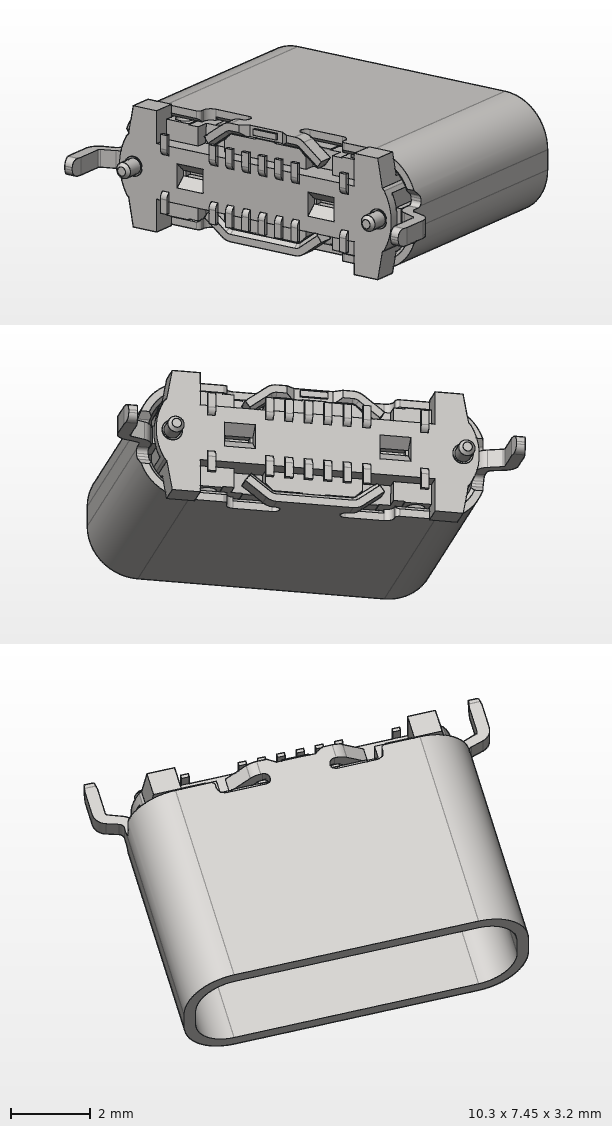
import cadquery as cq
import math


shell_width = 8.94
shell_height = 3.13
shell_corner = 1.30
wall = 0.30
shell_rear = 0.65
shell_mouth = 6.40
rear_chamfer = 0.10
cavity_half_width = shell_width / 2 - wall
cavity_half_height = shell_height / 2 - wall

strip_rear = 0.32
strip_front = 0.72
wing_bend_x = 1.13
wing_angle = math.radians(37)
wing_length = 0.83
bend_outer_radius = 0.45
bend_inner_radius = bend_outer_radius - wall
wing_root_x = 0.98

slot_outer_x = 2.16
slot_inner_x = 0.78
slot_front = 1.04
slot_end_radius = 0.155
slot_corner = 0.22
slot_flare = 0.10

notch_half_width = 0.72
notch_floor_half_width = 0.50
notch_depth = 0.15
lip_half_width = 0.35
lip_rear = 0.40
lip_thickness = 0.16
lip_below_top = 0.06

tail_width = 0.47
tail_outer_x = 5.15
tail_inner_x = tail_outer_x - 0.33
tail_end = -1.05
tail_tip_start = -0.74
tail_tip_inset = 0.05
tail_tip_radius = 0.20
tail_root = 0.95
tail_bend_inner_y = 0.30
tail_bend_outer_y = 0.45
tail_knee_inner_y = 0.05
tail_knee_outer_y = 0.23
tail_wide_bend = 0.38
tail_wall_bend = 0.15
tail_tight_bend = 0.06
arch_inner_x = 3.70
arch_outer_z = 0.70
arch_peak_outer_z = 0.50
arch_peak = 0.86
arch_corner = 0.13

housing_height = 3.20
ear_inner_x = 3.02
ear_top_x = 3.74
ear_shoulder_x = 3.88
ear_shoulder_z = 0.84
plate_half_width = 4.155
plate_arc_x = 3.94
plate_arc_z = 0.78
plate_thickness = 0.26
plug_half_width = 4.00
plug_half_height = 1.24
plug_front = 1.20
nub_rear = 0.43

web_half_height = 0.735
step_rear = 0.43
wing_recess_x = 2.05
wing_recess_floor = 0.735
wing_recess_rim = 0.79
middle_half_width = 1.25
middle_top_half_width = 1.05
middle_shoulder_z = 1.05

centre_pad_half_width = 0.30
front_pad_half_width = 1.75
side_pad_inner_x = 2.34
dimple_x = 2.68
dimple_y = 0.76
dimple_radius = 0.24

window_x = 2.00
window_width = 0.79
window_height = 0.64
window_taper_depth = 0.28
window_neck_height = 0.14
window_neck_width = 0.65
window_neck_depth = 0.20

peg_x = 3.74
peg_radius = 0.21
peg_length = 0.51
peg_tip_radius = 0.12
peg_tip_length = 0.09
peg_groove_radius = 0.26
peg_groove_depth = 0.03

contact_places = (-2.74, -1.25, -0.75, -0.25, 0.25, 0.75, 1.25, 2.74)
contact_width = 0.20
contact_inner_z = 0.45
contact_outer_z = 1.04
contact_stand_off = 0.10
contact_strip = 0.22
contact_bend = 0.21


def box(x_range, y_range, z_range):
    """A box given by its low and high limits on each axis."""
    size = [high - low for low, high in (x_range, y_range, z_range)]
    corner = (x_range[0], y_range[0], z_range[0])
    return cq.Workplane("XY").box(*size, centered=False).translate(corner)


def across(y):
    """A workplane at the given Y whose local axes are X and Z and whose extrusion runs toward +Y."""
    return cq.Workplane(cq.Plane(origin=(0, y, 0), xDir=(1, 0, 0), normal=(0, -1, 0)))


def prism(points, y_low, y_high):
    """An outline in X and Z, extruded from one Y to another."""
    return across(y_low).polyline(points).close().extrude(y_low - y_high)


def both_x(body):
    return body.union(body.mirror("YZ"))


def both_z(body):
    return body.union(body.mirror("XY"))


def rounded_bar(half_width, half_height, corner, y_low, y_high):
    bar = box((-half_width, half_width), (y_low, y_high), (-half_height, half_height))
    return bar.edges("|Y").fillet(corner)


def shell_cavity():
    return rounded_bar(cavity_half_width, cavity_half_height, shell_corner - wall, shell_rear, shell_mouth)


def shell_tube():
    tube = rounded_bar(shell_width / 2, shell_height / 2, shell_corner, shell_rear, shell_mouth)
    tube = tube.cut(shell_cavity())
    inner_edge = cq.NearestToPointSelector((0, shell_rear, cavity_half_height))
    return tube.faces("<Y").edges(inner_edge).chamfer(rear_chamfer)


def wing_slot():
    """Slot through the upper and lower walls, open to the rear outside the wing."""
    z_range = (-shell_height, shell_height)
    slot = box((slot_inner_x, slot_outer_x), (strip_front, slot_front), z_range)
    slot = slot.edges("|Z and <X").fillet(slot_end_radius)
    slot = slot.edges("|Z and >X and >Y").fillet(slot_corner)
    slot = slot.union(box((wing_root_x, slot_outer_x), (0, slot_front - slot_corner), z_range))
    arc_middle = slot_flare * (1 - math.sqrt(0.5))
    flare = (
        cq.Workplane("XY", origin=(slot_outer_x, shell_rear, 0))
        .lineTo(slot_flare, 0)
        .threePointArc((arc_middle, arc_middle), (0, slot_flare))
        .close()
        .extrude(shell_height, both=True)
    )
    return slot.union(flare)


def slot_bevel():
    """Bevel along the inner edge of a slot's front wall, above and below the cavity."""
    bevel = (
        cq.Workplane("YZ", origin=(slot_inner_x + slot_end_radius, 0, 0))
        .polyline([
            (slot_front, cavity_half_height),
            (slot_front + rear_chamfer, cavity_half_height),
            (slot_front, cavity_half_height + rear_chamfer),
        ])
        .close()
        .extrude(slot_outer_x - slot_inner_x - slot_end_radius - slot_corner)
    )
    return both_z(bevel)


def side_arches():
    """Relief openings in the side walls, on both sides of a tail."""
    low_z = tail_width / 2
    arch = (
        cq.Workplane("YZ", origin=(arch_inner_x, 0, 0))
        .moveTo(0, low_z)
        .lineTo(arch_peak, low_z)
        .lineTo(arch_peak, arch_peak_outer_z)
        .lineTo(shell_rear, arch_outer_z)
        .lineTo(0, arch_outer_z)
        .close()
        .extrude(shell_width)
    )
    arch = arch.edges("|X and >Y").fillet(arch_corner)
    return both_x(both_z(arch))


def latch_strip():
    """Strip along the upper rear edge, its two ends bent inward as wings."""
    top = shell_height / 2
    along = (math.cos(wing_angle), -math.sin(wing_angle))
    inward = (-math.sin(wing_angle), -math.cos(wing_angle))
    tip = (wing_bend_x + wing_length * along[0], top + wing_length * along[1])
    under_tip = (tip[0] + wall * inward[0], tip[1] + wall * inward[1])
    under_bend_x = wing_bend_x - wall * math.tan(wing_angle / 2)
    right_side = [(wing_bend_x, top), tip, under_tip, (under_bend_x, top - wall)]
    left_side = [(-x, z) for x, z in reversed(right_side)]
    strip = prism(right_side + left_side, strip_rear, strip_front)
    strip_middle = (strip_rear + strip_front) / 2
    for side in (-1, 1):
        outer_bend = cq.NearestToPointSelector((side * wing_bend_x, strip_middle, top))
        strip = strip.edges("|Y").edges(outer_bend).fillet(bend_outer_radius)
        inner_bend = cq.NearestToPointSelector((side * under_bend_x, strip_middle, top - wall))
        strip = strip.edges("|Y").edges(inner_bend).fillet(bend_inner_radius)
    rear_inner_edge = cq.NearestToPointSelector((0, strip_rear, top - wall))
    return strip.faces("<Y").edges(rear_inner_edge).chamfer(rear_chamfer)


def strip_notch():
    """Trapezoid notch in the rear edge of the upper strip."""
    floor = strip_rear + notch_depth
    return (
        cq.Workplane("XY", origin=(0, 0, cavity_half_height))
        .polyline([
            (-notch_half_width, strip_rear),
            (-notch_floor_half_width, floor),
            (notch_floor_half_width, floor),
            (notch_half_width, strip_rear),
        ])
        .close()
        .extrude(wall)
    )


def notch_lip():
    lip_top = shell_height / 2 - lip_below_top
    return box(
        (-lip_half_width, lip_half_width),
        (lip_rear, strip_front),
        (lip_top - lip_thickness, lip_top),
    )


def solder_tail():
    """Tail on the +X side: cranked outward, then straight down to a narrowed, rounded tip."""
    wall_outer = shell_width / 2
    tail = (
        cq.Workplane("XY")
        .polyline([
            (cavity_half_width, tail_root),
            (cavity_half_width, tail_bend_inner_y),
            (tail_inner_x, tail_knee_inner_y),
            (tail_inner_x, tail_tip_start),
            (tail_inner_x + tail_tip_inset, tail_end),
            (tail_outer_x - tail_tip_inset, tail_end),
            (tail_outer_x, tail_tip_start),
            (tail_outer_x, tail_knee_outer_y),
            (wall_outer, tail_bend_outer_y),
            (wall_outer, tail_root),
        ])
        .close()
        .extrude(tail_width / 2, both=True)
    )
    bends = (
        ((cavity_half_width, tail_bend_inner_y), tail_wide_bend),
        ((tail_outer_x, tail_knee_outer_y), tail_wide_bend),
        ((tail_inner_x, tail_knee_inner_y), tail_tight_bend),
        ((wall_outer, tail_bend_outer_y), tail_wall_bend),
    )
    for (x, y), radius in bends:
        tail = tail.edges("|Z").edges(cq.NearestToPointSelector((x, y, 0))).fillet(radius)
    return tail.faces("<Y").edges("|X").fillet(tail_tip_radius)


def build_shell():
    body = shell_tube()
    body = body.cut(both_x(wing_slot())).cut(both_x(slot_bevel()))
    body = body.cut(side_arches())
    body = body.union(both_z(latch_strip()))
    body = body.cut(strip_notch()).union(notch_lip())
    return body.union(both_x(solder_tail()))


def ear_prism(y_low, y_high):
    """The housing's full outline: squared ears above and below, and bowed ends between them."""
    top = housing_height / 2
    return (
        across(y_low)
        .moveTo(ear_top_x, top)
        .lineTo(ear_shoulder_x, ear_shoulder_z)
        .lineTo(plate_arc_x, plate_arc_z)
        .threePointArc((plate_half_width, 0), (plate_arc_x, -plate_arc_z))
        .lineTo(ear_shoulder_x, -ear_shoulder_z)
        .lineTo(ear_top_x, -top)
        .lineTo(-ear_top_x, -top)
        .lineTo(-ear_shoulder_x, -ear_shoulder_z)
        .lineTo(-plate_arc_x, -plate_arc_z)
        .threePointArc((-plate_half_width, 0), (-plate_arc_x, plate_arc_z))
        .lineTo(-ear_shoulder_x, ear_shoulder_z)
        .lineTo(-ear_top_x, top)
        .close()
        .extrude(y_low - y_high)
    )


def side_relief():
    """Clearance beside the plate for the shell's side walls."""
    z_range = (-housing_height, housing_height)
    return both_x(box((plug_half_width, shell_width), (plate_thickness, plug_front), z_range))


def housing_blank():
    base = ear_prism(0, shell_rear)
    plug = ear_prism(shell_rear, plug_front).intersect(shell_cavity())
    flat_plug = box(
        (-shell_width, shell_width), (shell_rear, plug_front), (-plug_half_height, plug_half_height)
    )
    nub = box(
        (-plate_half_width, plate_half_width),
        (nub_rear, plug_front),
        (-tail_width / 2, tail_width / 2),
    )
    return base.union(plug.intersect(flat_plug)).cut(side_relief()).union(nub)


def web_recess():
    """Space above the centre web, between the ears."""
    z_range = (web_half_height, housing_height)
    recess = box((-ear_inner_x, ear_inner_x), (0, step_rear), z_range)
    over_plug = box((-ear_inner_x, ear_inner_x), (0, shell_rear), (plug_half_height, housing_height))
    return both_z(recess.union(over_plug))


def wing_recess():
    """Deeper pockets behind the wings, each with a leaning floor."""
    profile = [
        (0, web_half_height),
        (wing_recess_floor, web_half_height),
        (wing_recess_rim, plug_half_height),
        (0, plug_half_height),
    ]
    pocket = cq.Workplane("YZ").polyline(profile).close().extrude(wing_recess_x)
    middle = prism(
        [
            (-middle_half_width, 0),
            (middle_half_width, 0),
            (middle_half_width, middle_shoulder_z),
            (middle_top_half_width, plug_half_height),
            (middle_top_half_width, housing_height),
            (-middle_top_half_width, housing_height),
            (-middle_top_half_width, plug_half_height),
            (-middle_half_width, middle_shoulder_z),
        ],
        0,
        plug_front,
    )
    return both_x(both_z(pocket.cut(middle)))


def fit_pads():
    """Thin raised pads that bear on the shell's upper and lower walls."""
    z_range = (plug_half_height, cavity_half_height)
    pads = box((-centre_pad_half_width, centre_pad_half_width), (step_rear, plug_front), z_range)
    front_pad = box((-front_pad_half_width, front_pad_half_width), (wing_recess_rim, plug_front), z_range)
    side_pad = box((side_pad_inner_x, ear_inner_x), (step_rear, plug_front), z_range)
    return both_z(pads.union(front_pad).union(both_x(side_pad)))


def pad_dimples():
    """Shallow spherical dimples in the side pads, partly under the shell's rear edge."""
    dimple = cq.Workplane("XY").sphere(dimple_radius).translate((dimple_x, dimple_y, cavity_half_height))
    return both_x(both_z(dimple))


def window():
    """Window narrowing in Z to a shallow slot."""
    taper = [
        (0, -window_height / 2),
        (0, window_height / 2),
        (window_taper_depth, window_neck_height / 2),
        (window_taper_depth, -window_neck_height / 2),
    ]
    mouth = cq.Workplane("YZ").polyline(taper).close().extrude(window_width / 2, both=True)
    neck_end = window_taper_depth + window_neck_depth
    neck = box(
        (-window_neck_width / 2, window_neck_width / 2),
        (0, neck_end),
        (-window_neck_height / 2, window_neck_height / 2),
    )
    return mouth.union(neck).translate((window_x, 0, 0))


def peg():
    """Round peg with a tapered tip, revolved about its own axis."""
    return (
        cq.Workplane("XY")
        .polyline([
            (0, peg_groove_depth),
            (peg_radius, peg_groove_depth),
            (peg_radius, peg_tip_length - peg_length),
            (peg_tip_radius, -peg_length),
            (0, -peg_length),
        ])
        .close()
        .revolve(360, (0, 0, 0), (0, 1, 0))
        .translate((peg_x, 0, 0))
    )


def peg_groove():
    return across(0).center(peg_x, 0).circle(peg_groove_radius).extrude(-peg_groove_depth)


def contact_foot(x):
    """Flat foot standing off the board face, rounded at its inner end where it bends into the web."""
    foot = box(
        (x - contact_width / 2, x + contact_width / 2),
        (-contact_stand_off, contact_strip - contact_stand_off),
        (contact_inner_z, contact_outer_z),
    )
    foot = foot.edges("|X and <Y and <Z").fillet(contact_bend)
    return foot.intersect(box((-shell_width, shell_width), (-contact_stand_off, 0), (0, shell_height)))


def build_housing():
    body = housing_blank().cut(web_recess()).cut(wing_recess())
    body = body.union(fit_pads()).cut(pad_dimples())
    body = body.cut(both_x(window()))
    body = body.cut(both_x(peg_groove())).union(both_x(peg()))
    for x in contact_places:
        body = body.union(both_z(contact_foot(x)))
    return body


shell = build_shell()
housing = build_housing()
result = cq.Compound.makeCompound([shell.solids().val(), housing.solids().val()])